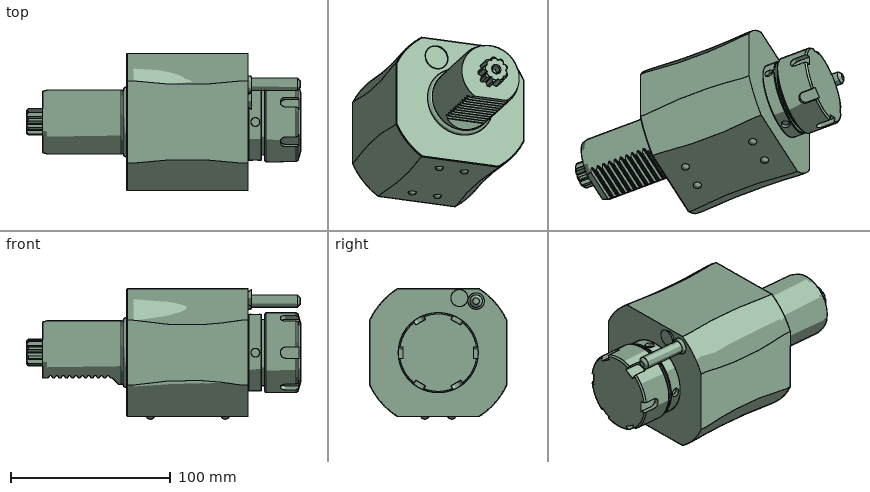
import cadquery as cq
import math


TOTAL_LENGTH = 171.6
SHANK_START = 10.0
SHANK_COLLAR_START = 60.4
HOUSING_START = 62.6
HOUSING_LENGTH = 76.0
HOUSING_END = HOUSING_START + HOUSING_LENGTH
RING_END = 147.0
NUT_START = 148.8
NUT_SHOULDER_START = 168.7
NUT_NOSE_START = 169.9
EMBED = 1.7

SPLINE_TIP_RADIUS = 8.4
SPLINE_ROOT_RADIUS = 6.5
SPLINE_TOOTH_COUNT = 9
SPLINE_TOOTH_TIP_WIDTH = 1.5
SPLINE_TOOTH_BASE_WIDTH = 4.0
SPLINE_CHAMFER = 1.2
CENTER_HOLE_RADIUS = 2.4
CENTER_HOLE_DEPTH = 6.0
CENTER_HOLE_CHAMFER = 0.7

SHANK_RADIUS = 20.0
SHANK_CHAMFER_LENGTH = 3.1
SHANK_CHAMFER_HEIGHT = 0.9
UNDERCUT_LENGTH = 1.2
UNDERCUT_RADIUS = 19.5
SHANK_COLLAR_RADIUS = 22.0
SHANK_COLLAR_FILLET = 2.0
RACK_FLAT_HEIGHT = 16.0
RACK_END = 53.5
RACK_PITCH = 4.0
RACK_FIRST_VALLEY = 15.0
RACK_VALLEY_COUNT = 10
RACK_DEPTH = 1.5
RACK_VALLEY_WIDTH = 3.3
RACK_VALLEY_FLOOR = 0.7

HOUSING_WIDTH = 86.0
HOUSING_HEIGHT = 80.0
HOUSING_CORNER_RADIUS = 47.5
HOUSING_WAIST_RADIUS = 46.3
HOUSING_LAND = 4.3
HOUSING_CHAMFER = 0.5
RECESS_RADIUS = 7.5
RECESS_DEPTH = 0.9
RECESS_Y = 15.8
RECESS_Z = 27.8
FOOT_RADIUS = 2.5
FOOT_HEIGHT = 1.7
FOOT_FIRST_X = 77.4
FOOT_SPACING_X = 46.8
FOOT_OFFSET_Y = 8.4

RING_RADIUS = 24.0
RING_CHAMFER = 0.5
RING_HOLE_RADIUS = 2.7
RING_HOLE_DEPTH = 2.5
RING_HOLE_X = 143.1
RING_HOLE_COUNT = 4
NECK_RADIUS = 20.8
NUT_RADIUS = 25.0
NUT_CHAMFER = 1.0
NUT_NOSE_RADIUS = 24.2
NUT_FACE_RADIUS = 18.2
NUT_SLOT_COUNT = 6
NUT_SLOT_WIDTH = 7.0
NUT_SLOT_START = 158.7
NUT_SLOT_FLOOR = 22.0

PIN_RADIUS = 4.0
PIN_Y = 23.7
PIN_Z = 32.3
PIN_END = 171.3
PIN_CHAMFER = 1.9
PIN_COLLAR_RADIUS = 5.1
PIN_COLLAR_FILLET = 1.0
CLAMP_HEIGHT = 2.0
SCREW_Y = 13.2
SCREW_Z = 34.1
SCREW_BASE_RADIUS = 4.1
SCREW_RIM_RADIUS = 5.3


def cylinder_x(x_start, x_end, radius, y=0, z=0):
    """Cylinder along X between two stations."""
    return cq.Workplane("YZ", origin=(x_start, y, z)).circle(radius).extrude(x_end - x_start)


def revolve_about_x(profile):
    return profile.close().revolve(360, (0, 0, 0), (1, 0, 0))


def make_spline():
    spline = cylinder_x(0, SHANK_START + EMBED, SPLINE_ROOT_RADIUS)
    foot_y = math.sqrt(SPLINE_ROOT_RADIUS**2 - (SPLINE_TOOTH_BASE_WIDTH / 2) ** 2)
    tooth = (
        cq.Workplane("YZ")
        .moveTo(0, SPLINE_TOOTH_BASE_WIDTH / 2)
        .lineTo(foot_y, SPLINE_TOOTH_BASE_WIDTH / 2)
        .lineTo(SPLINE_TIP_RADIUS, SPLINE_TOOTH_TIP_WIDTH / 2)
        .lineTo(SPLINE_TIP_RADIUS, -SPLINE_TOOTH_TIP_WIDTH / 2)
        .lineTo(foot_y, -SPLINE_TOOTH_BASE_WIDTH / 2)
        .lineTo(0, -SPLINE_TOOTH_BASE_WIDTH / 2)
        .close()
        .extrude(SHANK_START + EMBED)
    )
    for index in range(SPLINE_TOOTH_COUNT):
        angle = index * 360 / SPLINE_TOOTH_COUNT
        spline = spline.union(tooth.rotate((0, 0, 0), (1, 0, 0), angle))
    tip_envelope = cylinder_x(0, SHANK_START + EMBED, SPLINE_TIP_RADIUS).faces("<X").chamfer(SPLINE_CHAMFER)
    return spline.intersect(tip_envelope)


def make_center_hole():
    mouth_radius = CENTER_HOLE_RADIUS + CENTER_HOLE_CHAMFER
    return revolve_about_x(
        cq.Workplane("XY")
        .lineTo(0, mouth_radius)
        .lineTo(CENTER_HOLE_CHAMFER, CENTER_HOLE_RADIUS)
        .lineTo(CENTER_HOLE_DEPTH, CENTER_HOLE_RADIUS)
        .lineTo(CENTER_HOLE_DEPTH, 0)
    )


def make_rack_cut():
    """Flat under the shank with a 45 degree run-out, plus the valleys between the rack teeth."""
    run_out = SHANK_COLLAR_START - RACK_END
    flat_cut = (
        cq.Workplane("XZ")
        .moveTo(SHANK_START, -RACK_FLAT_HEIGHT)
        .lineTo(RACK_END, -RACK_FLAT_HEIGHT)
        .lineTo(RACK_END + run_out, -RACK_FLAT_HEIGHT - run_out)
        .lineTo(SHANK_START, -RACK_FLAT_HEIGHT - run_out)
        .close()
        .extrude(SHANK_RADIUS, both=True)
    )
    valley = (
        cq.Workplane("XZ")
        .moveTo(-RACK_VALLEY_WIDTH / 2, -RACK_FLAT_HEIGHT)
        .lineTo(-RACK_VALLEY_FLOOR / 2, -RACK_FLAT_HEIGHT + RACK_DEPTH)
        .lineTo(RACK_VALLEY_FLOOR / 2, -RACK_FLAT_HEIGHT + RACK_DEPTH)
        .lineTo(RACK_VALLEY_WIDTH / 2, -RACK_FLAT_HEIGHT)
        .close()
        .extrude(SHANK_RADIUS, both=True)
    )
    for index in range(RACK_VALLEY_COUNT):
        flat_cut = flat_cut.union(valley.translate((RACK_FIRST_VALLEY + index * RACK_PITCH, 0, 0)))
    return flat_cut


def make_shank():
    shank = revolve_about_x(
        cq.Workplane("XY")
        .moveTo(SHANK_START, 0)
        .lineTo(SHANK_START, SHANK_RADIUS - SHANK_CHAMFER_HEIGHT)
        .lineTo(SHANK_START + SHANK_CHAMFER_LENGTH, SHANK_RADIUS)
        .lineTo(SHANK_COLLAR_START - UNDERCUT_LENGTH, SHANK_RADIUS)
        .lineTo(SHANK_COLLAR_START, UNDERCUT_RADIUS)
        .lineTo(HOUSING_START + EMBED, UNDERCUT_RADIUS)
        .lineTo(HOUSING_START + EMBED, 0)
    )
    collar = cylinder_x(SHANK_COLLAR_START, HOUSING_START + EMBED, SHANK_COLLAR_RADIUS)
    collar = collar.faces("<X").edges().fillet(SHANK_COLLAR_FILLET)
    return shank.cut(make_rack_cut()).union(collar)


def make_housing():
    """Rectangular block whose long corners are turned to a waisted round profile."""
    block = cq.Workplane("XY").box(
        HOUSING_LENGTH, HOUSING_WIDTH, HOUSING_HEIGHT, centered=(False, True, True)
    ).translate((HOUSING_START, 0, 0))
    waist_x = HOUSING_START + HOUSING_LENGTH / 2
    turned_envelope = revolve_about_x(
        cq.Workplane("XY")
        .moveTo(HOUSING_START, 0)
        .lineTo(HOUSING_START, HOUSING_CORNER_RADIUS)
        .lineTo(HOUSING_START + HOUSING_LAND, HOUSING_CORNER_RADIUS)
        .threePointArc((waist_x, HOUSING_WAIST_RADIUS), (HOUSING_END - HOUSING_LAND, HOUSING_CORNER_RADIUS))
        .lineTo(HOUSING_END, HOUSING_CORNER_RADIUS)
        .lineTo(HOUSING_END, 0)
    )
    housing = block.intersect(turned_envelope).faces("<X").chamfer(HOUSING_CHAMFER)
    recess = cylinder_x(HOUSING_START, HOUSING_START + RECESS_DEPTH, RECESS_RADIUS, RECESS_Y, RECESS_Z)
    return housing.cut(recess)


def make_feet():
    """Four domed screw heads under the housing."""
    dome_radius = (FOOT_RADIUS**2 + FOOT_HEIGHT**2) / (2 * FOOT_HEIGHT)
    dome_center_z = -HOUSING_HEIGHT / 2 - FOOT_HEIGHT + dome_radius
    centers = [
        (x, y, dome_center_z)
        for x in (FOOT_FIRST_X, FOOT_FIRST_X + FOOT_SPACING_X)
        for y in (-FOOT_OFFSET_Y, FOOT_OFFSET_Y)
    ]
    return cq.Workplane("XY").pushPoints(centers).sphere(dome_radius)


def make_spindle_ring():
    ring = cylinder_x(HOUSING_END, RING_END, RING_RADIUS).edges().chamfer(RING_CHAMFER)
    hole = (
        cq.Workplane("XY", origin=(RING_HOLE_X, 0, RING_RADIUS - RING_HOLE_DEPTH))
        .circle(RING_HOLE_RADIUS)
        .extrude(2 * RING_HOLE_DEPTH)
    )
    for index in range(RING_HOLE_COUNT):
        ring = ring.cut(hole.rotate((0, 0, 0), (1, 0, 0), index * 360 / RING_HOLE_COUNT))
    neck = cylinder_x(HOUSING_END - EMBED, NUT_START + EMBED, NECK_RADIUS)
    return ring.union(neck)


def make_nut():
    nut = revolve_about_x(
        cq.Workplane("XY")
        .moveTo(NUT_START, 0)
        .lineTo(NUT_START, NUT_RADIUS - NUT_CHAMFER)
        .lineTo(NUT_START + NUT_CHAMFER, NUT_RADIUS)
        .lineTo(NUT_SHOULDER_START, NUT_RADIUS)
        .lineTo(NUT_NOSE_START, NUT_NOSE_RADIUS)
        .lineTo(TOTAL_LENGTH, NUT_FACE_RADIUS)
        .lineTo(TOTAL_LENGTH, 0)
    )
    end_center_x = NUT_SLOT_START + NUT_SLOT_WIDTH / 2
    slot_depth = NUT_RADIUS - NUT_SLOT_FLOOR
    slot = (
        cq.Workplane("XZ", origin=(0, -NUT_SLOT_FLOOR, 0))
        .moveTo(TOTAL_LENGTH, NUT_SLOT_WIDTH / 2)
        .lineTo(end_center_x, NUT_SLOT_WIDTH / 2)
        .threePointArc((NUT_SLOT_START, 0), (end_center_x, -NUT_SLOT_WIDTH / 2))
        .lineTo(TOTAL_LENGTH, -NUT_SLOT_WIDTH / 2)
        .close()
        .extrude(2 * slot_depth)
    )
    for index in range(NUT_SLOT_COUNT):
        nut = nut.cut(slot.rotate((0, 0, 0), (1, 0, 0), index * 360 / NUT_SLOT_COUNT))
    return nut


def make_pin():
    pin = cylinder_x(HOUSING_END - EMBED, PIN_END, PIN_RADIUS, PIN_Y, PIN_Z)
    pin = pin.faces(">X").chamfer(PIN_CHAMFER)
    collar_end = HOUSING_END + CLAMP_HEIGHT
    collar = cylinder_x(HOUSING_END - EMBED, collar_end, PIN_COLLAR_RADIUS, PIN_Y, PIN_Z)
    return pin.union(collar.faces(">X").edges().fillet(PIN_COLLAR_FILLET))


def make_clamp_screw():
    """Screw head that flares outward from the housing face, beside the pin."""
    flare_angle = math.degrees(math.atan2(SCREW_RIM_RADIUS - SCREW_BASE_RADIUS, CLAMP_HEIGHT))
    return (
        cq.Workplane("YZ", origin=(HOUSING_END, SCREW_Y, SCREW_Z))
        .circle(SCREW_BASE_RADIUS)
        .extrude(CLAMP_HEIGHT, taper=-flare_angle)
    )


result = (
    make_housing()
    .union(make_shank())
    .union(make_spline())
    .cut(make_center_hole())
    .union(make_feet())
    .union(make_spindle_ring())
    .union(make_nut())
    .union(make_pin())
    .union(make_clamp_screw())
)